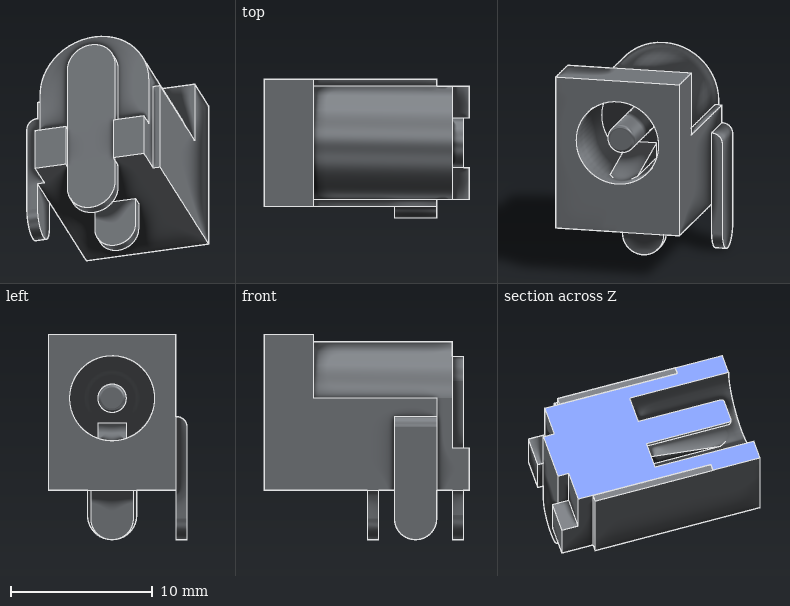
import cadquery as cq


total_length = 14.5
housing_width = 9.0
housing_height = 11.0
flange_length = 3.5
base_length = 12.2
barrel_radius = 4.0
barrel_length = 13.3
barrel_axis_z = 6.5
foot_height = 3.0

socket_diameter = 6.0
middle_terminal_x = 7.3
socket_depth = middle_terminal_x
pin_diameter = 2.0
pin_recess = 1.0
pin_tip_round = 0.25

spring_width = 2.0
spring_start = 1.0
spring_drop = 1.75

terminal_thickness = 0.8
terminal_depth = total_length - housing_height
terminal_width = 3.0
rear_terminal_width = 3.5
rear_terminal_top = 9.45
side_terminal_top = 5.2
side_terminal_round = 0.75


def block(x_start, x_end, width, z_start, z_end):
    """Box centred on Y between the given X and Z limits."""
    size = (x_end - x_start, width, z_end - z_start)
    return cq.Workplane("XY").box(*size, centered=(False, True, False)).translate((x_start, 0, z_start))


def rod(x_start, x_end, radius):
    """Cylinder along the barrel axis."""
    return (
        cq.Workplane("YZ", origin=(x_start, 0, barrel_axis_z))
        .circle(radius)
        .extrude(x_end - x_start)
    )


def make_housing():
    flange = block(0, flange_length, housing_width, 0, housing_height)
    base = block(0, base_length, housing_width, 0, barrel_axis_z)
    barrel = rod(0, barrel_length, barrel_radius)
    barrel_support = block(0, barrel_length, 2 * barrel_radius, 0, barrel_axis_z)
    foot = block(0, total_length, 2 * barrel_radius, 0, foot_height)
    foot_slot = block(barrel_length, total_length, rear_terminal_width, 0, foot_height)
    socket = rod(0, socket_depth, socket_diameter / 2)
    solid = flange.union(base).union(barrel).union(barrel_support).union(foot)
    return solid.cut(foot_slot).cut(socket)


def make_centre_pin():
    pin = rod(pin_recess, socket_depth, pin_diameter / 2)
    return pin.faces("<X").edges().fillet(pin_tip_round)


def make_spring():
    """Ramp rising from the socket wall to the socket end."""
    wall_z = barrel_axis_z - socket_diameter / 2
    end_z = barrel_axis_z - spring_drop
    root_z = wall_z - terminal_thickness
    return (
        cq.Workplane("XZ")
        .moveTo(spring_start, wall_z)
        .lineTo(socket_depth, end_z)
        .lineTo(socket_depth, root_z)
        .lineTo(spring_start, root_z)
        .close()
        .extrude(spring_width / 2, both=True)
    )


def cross_terminal(x_start, width, top_z):
    """Upright strip facing along X with a round lower end."""
    radius = width / 2
    arc_z = radius - terminal_depth
    strip = block(x_start, x_start + terminal_thickness, width, arc_z, top_z)
    tip = (
        cq.Workplane("YZ", origin=(x_start, 0, arc_z))
        .circle(radius)
        .extrude(terminal_thickness)
    )
    return strip.union(tip)


def make_rear_terminal():
    radius = rear_terminal_width / 2
    arc_z = rear_terminal_top - radius
    crown = (
        cq.Workplane("YZ", origin=(barrel_length, 0, arc_z))
        .circle(radius)
        .extrude(terminal_thickness)
    )
    return cross_terminal(barrel_length, rear_terminal_width, arc_z).union(crown)


def make_side_terminal():
    """Strip on the -Y wall with a rounded top edge and a round lower end."""
    radius = terminal_width / 2
    arc_z = radius - terminal_depth
    left = base_length - terminal_width
    return (
        cq.Workplane("XZ", origin=(0, -housing_width / 2, 0))
        .moveTo(left, arc_z)
        .threePointArc((left + radius, -terminal_depth), (base_length, arc_z))
        .lineTo(base_length, side_terminal_top)
        .lineTo(left, side_terminal_top)
        .close()
        .extrude(terminal_thickness)
        .faces(">Z")
        .edges("<Y")
        .fillet(side_terminal_round)
    )


result = (
    make_housing()
    .union(make_centre_pin())
    .union(make_spring())
    .union(cross_terminal(middle_terminal_x, terminal_width, foot_height))
    .union(make_rear_terminal())
    .union(make_side_terminal())
)